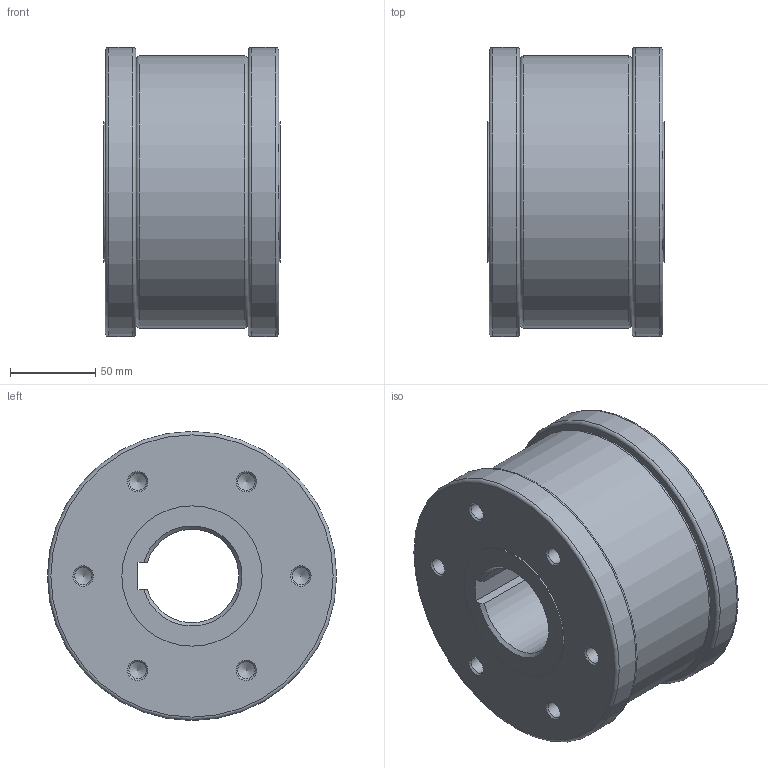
import cadquery as cq
import math

hub_length = 104.0
hub_diameter = 82.5
body_length = 102.0
flange_diameter = 170.0
flange_width = 18.0
tread_diameter = 160.0
tread_length = body_length - 2 * flange_width
rim_fillet = 2.0

bore_diameter = 55.0
bore_chamfer = 2.0
keyway_width = 16.0
keyway_depth = 4.3

hole_count = 6
hole_circle_diameter = 128.0
hole_diameter = 10.2
hole_mouth_diameter = 12.0
hole_depth = 25.0
drill_point_angle = 118.0


def disc(diameter, length, x_start):
    """Cylinder along +X starting at x_start."""
    return cq.Workplane("YZ", origin=(x_start, 0, 0)).circle(diameter / 2).extrude(length)


def rounded_disc(diameter, length, x_start):
    """Cylinder along +X with both rims rounded."""
    return disc(diameter, length, x_start).edges().fillet(rim_fillet)


def make_body():
    """Hub, tread and the two flanges; rounded tread ends leave a groove beside each flange."""
    body = disc(hub_diameter, hub_length, -hub_length / 2)
    body = body.union(rounded_disc(tread_diameter, tread_length, -tread_length / 2))
    for x_start in (-body_length / 2, tread_length / 2):
        body = body.union(rounded_disc(flange_diameter, flange_width, x_start))
    return body


def make_bore():
    """Through bore, chamfered at both ends, with a keyway on the +Y side."""
    bore_radius = bore_diameter / 2
    mouth_radius = bore_radius + bore_chamfer
    half_length = hub_length / 2
    bore = (
        cq.Workplane("XY")
        .moveTo(-half_length, 0)
        .lineTo(-half_length, mouth_radius)
        .lineTo(-half_length + bore_chamfer, bore_radius)
        .lineTo(half_length - bore_chamfer, bore_radius)
        .lineTo(half_length, mouth_radius)
        .lineTo(half_length, 0)
        .close()
        .revolve(360, (0, 0, 0), (1, 0, 0))
    )
    keyway_reach = bore_radius + keyway_depth
    keyway = cq.Workplane("XY").box(
        hub_length, keyway_reach, keyway_width, centered=(True, False, True)
    )
    return bore.union(keyway)


def make_hole():
    """Blind drilled hole with a countersunk mouth, on the +Y side of the -X face."""
    hole_radius = hole_diameter / 2
    mouth_radius = hole_mouth_diameter / 2
    countersink_depth = mouth_radius - hole_radius
    point_length = hole_radius / math.tan(math.radians(drill_point_angle / 2))
    return (
        cq.Workplane("XY", origin=(-body_length / 2, hole_circle_diameter / 2, 0))
        .lineTo(0, mouth_radius)
        .lineTo(countersink_depth, hole_radius)
        .lineTo(hole_depth, hole_radius)
        .lineTo(hole_depth + point_length, 0)
        .close()
        .revolve(360, (0, 0, 0), (1, 0, 0))
    )


result = make_body().cut(make_bore())
for index in range(hole_count):
    angle = index * 360 / hole_count
    result = result.cut(make_hole().rotate((0, 0, 0), (1, 0, 0), angle))